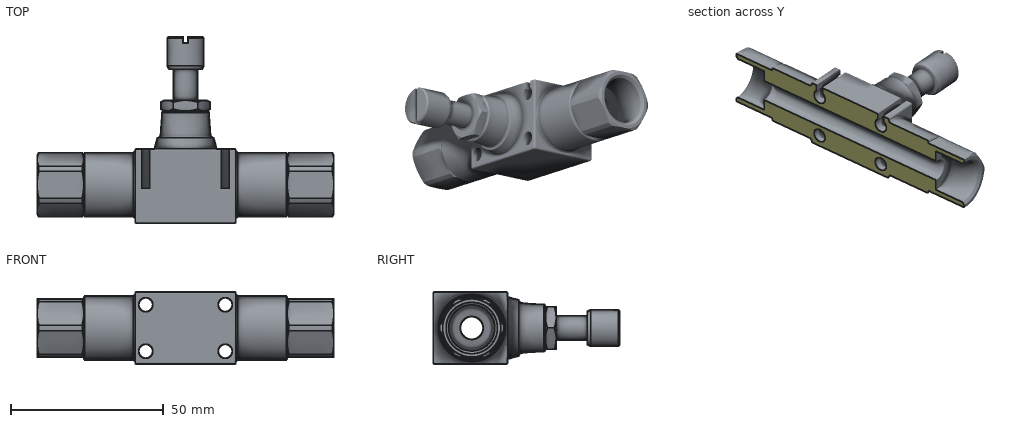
import cadquery as cq
import math


body_length = 33.0
body_height = 23.63
body_back = -12.6
body_front = 11.7
body_edge_radius = 0.6

port_tip = 48.5
port_diameter = 21.0
hex_flats = 19.0
hex_inner_end = 33.25
hex_chamfer_angle = 30.0
sleeve_end_chamfer = 0.4
sleeve_root_flare = 0.5

passage_diameter = 7.4
socket_diameter = 15.1
socket_depth = 12.0
socket_mouth_diameter = 16.8

hole_diameter = 4.5
hole_spacing_x = 26.0
hole_spacing_z = 15.2
slot_width = 2.5
slot_end = -1.1

flange_base_radius = 10.2
flange_top_radius = 9.2
flange_top = 15.4
bonnet_fillet = 0.9
bonnet_base_radius = 8.2
bonnet_top_radius = 7.8
bonnet_straight_start = 21.9
bonnet_shoulder = 23.6
bonnet_top = 24.1
bonnet_tip_radius = 7.2

nut_flats = 14.0
nut_thickness = 3.5
nut_chamfer_angle = 30.0

stem_diameter = 8.0
knob_diameter = 12.0
knob_start = 37.7
knob_tip = 48.4
knob_tip_chamfer = 0.5
knob_cone_length = 1.2
knob_bottom_radius = 5.4
driver_slot_width = 1.5
driver_slot_depth = 2.0


def hexagon_corners(flats):
    """Return the corner-to-corner diameter of a hexagon."""
    return flats / math.cos(math.radians(30))


def make_body():
    depth = body_front - body_back
    block = cq.Workplane("XY").box(body_length, depth, body_height)
    block = block.edges().fillet(body_edge_radius)
    return block.translate((0, (body_front + body_back) / 2, 0))


def make_port():
    """Arm on the +X side: a round sleeve followed by a hexagon with rounded corners."""
    radius = port_diameter / 2
    face = body_length / 2
    sleeve_end_radius = radius - sleeve_end_chamfer
    sleeve = (
        cq.Workplane("XY")
        .moveTo(0, 0)
        .lineTo(0, radius + sleeve_root_flare)
        .lineTo(face, radius + sleeve_root_flare)
        .lineTo(face + sleeve_root_flare, radius)
        .lineTo(hex_inner_end - sleeve_end_chamfer, radius)
        .lineTo(hex_inner_end, sleeve_end_radius)
        .lineTo(hex_inner_end, 0)
        .close()
        .revolve(360, (0, 0, 0), (1, 0, 0))
    )
    chamfer_width = radius - hex_flats / 2
    chamfer_length = chamfer_width * math.tan(math.radians(hex_chamfer_angle))
    hex_length = port_tip - hex_inner_end
    hexagon = (
        cq.Workplane("YZ", origin=(hex_inner_end, 0, 0))
        .polygon(6, hexagon_corners(hex_flats))
        .extrude(hex_length)
    )
    envelope = (
        cq.Workplane("YZ", origin=(hex_inner_end, 0, 0))
        .circle(radius)
        .extrude(hex_length)
        .edges()
        .chamfer(chamfer_length, chamfer_width)
    )
    return sleeve.union(hexagon.intersect(envelope))


def make_socket():
    """Threaded socket of the +X port with its countersunk mouth."""
    radius = socket_diameter / 2
    mouth_radius = socket_mouth_diameter / 2
    mouth_depth = mouth_radius - radius
    return (
        cq.Workplane("XY")
        .moveTo(port_tip - socket_depth, 0)
        .lineTo(port_tip - socket_depth, radius)
        .lineTo(port_tip - mouth_depth, radius)
        .lineTo(port_tip, mouth_radius)
        .lineTo(port_tip, 0)
        .close()
        .revolve(360, (0, 0, 0), (1, 0, 0))
    )


def make_passage():
    return cq.Workplane("YZ").circle(passage_diameter / 2).extrude(port_tip, both=True)


def make_mounting_cuts():
    """Four through holes along Y, with slots joining the upper two to the top face."""
    holes = (
        cq.Workplane("XZ", origin=(0, body_front, 0))
        .rect(hole_spacing_x, hole_spacing_z, forConstruction=True)
        .vertices()
        .circle(hole_diameter / 2)
        .extrude(body_front - body_back)
    )
    slot_bottom = hole_spacing_z / 2
    slots = (
        cq.Workplane("XY", origin=(0, (slot_end + body_front) / 2, slot_bottom))
        .pushPoints([(-hole_spacing_x / 2, 0), (hole_spacing_x / 2, 0)])
        .rect(slot_width, body_front - slot_end)
        .extrude(body_height / 2 - slot_bottom)
    )
    return holes.union(slots)


def make_bonnet():
    """Turned bonnet between the body and the lock nut, revolved about Y."""
    fillet_middle = bonnet_fillet * (1 - math.sqrt(0.5))
    return (
        cq.Workplane("XY")
        .moveTo(0, 0)
        .lineTo(flange_base_radius, 0)
        .lineTo(flange_base_radius, body_front)
        .lineTo(flange_top_radius, flange_top)
        .lineTo(bonnet_base_radius + bonnet_fillet, flange_top)
        .threePointArc(
            (bonnet_base_radius + fillet_middle, flange_top + fillet_middle),
            (bonnet_base_radius, flange_top + bonnet_fillet),
        )
        .lineTo(bonnet_top_radius, bonnet_straight_start)
        .lineTo(bonnet_top_radius, bonnet_shoulder)
        .lineTo(bonnet_tip_radius, bonnet_top)
        .lineTo(0, bonnet_top)
        .close()
        .revolve(360, (0, 0, 0), (0, 1, 0))
    )


def make_nut():
    """Hexagon nut with both faces turned down to the width across flats."""
    corner_radius = hexagon_corners(nut_flats) / 2
    face_radius = nut_flats / 2
    chamfer_height = (corner_radius - face_radius) * math.tan(math.radians(nut_chamfer_angle))
    nut_top = bonnet_top + nut_thickness
    hexagon = (
        cq.Workplane("XZ", origin=(0, nut_top, 0))
        .polygon(6, hexagon_corners(nut_flats))
        .extrude(nut_thickness)
    )
    envelope = (
        cq.Workplane("XY")
        .moveTo(0, bonnet_top)
        .lineTo(face_radius, bonnet_top)
        .lineTo(corner_radius, bonnet_top + chamfer_height)
        .lineTo(corner_radius, nut_top - chamfer_height)
        .lineTo(face_radius, nut_top)
        .lineTo(0, nut_top)
        .close()
        .revolve(360, (0, 0, 0), (0, 1, 0))
    )
    return hexagon.intersect(envelope)


def make_stem():
    """Stem and knob, revolved about Y, with a screwdriver slot across the tip."""
    stem_radius = stem_diameter / 2
    knob_radius = knob_diameter / 2
    turned = (
        cq.Workplane("XY")
        .moveTo(0, bonnet_top)
        .lineTo(stem_radius, bonnet_top)
        .lineTo(stem_radius, knob_start)
        .lineTo(knob_bottom_radius, knob_start)
        .lineTo(knob_radius, knob_start + knob_cone_length)
        .lineTo(knob_radius, knob_tip - knob_tip_chamfer)
        .lineTo(knob_radius - knob_tip_chamfer, knob_tip)
        .lineTo(0, knob_tip)
        .close()
        .revolve(360, (0, 0, 0), (0, 1, 0))
    )
    slot = (
        cq.Workplane("XY")
        .box(driver_slot_width, driver_slot_depth, knob_diameter)
        .translate((0, knob_tip - driver_slot_depth / 2, 0))
    )
    return turned.cut(slot)


result = make_body().union(make_bonnet()).union(make_nut()).union(make_stem())

port = make_port()
socket = make_socket()
result = result.union(port).union(port.mirror("YZ"))
result = result.cut(socket).cut(socket.mirror("YZ"))
result = result.cut(make_passage()).cut(make_mounting_cuts())